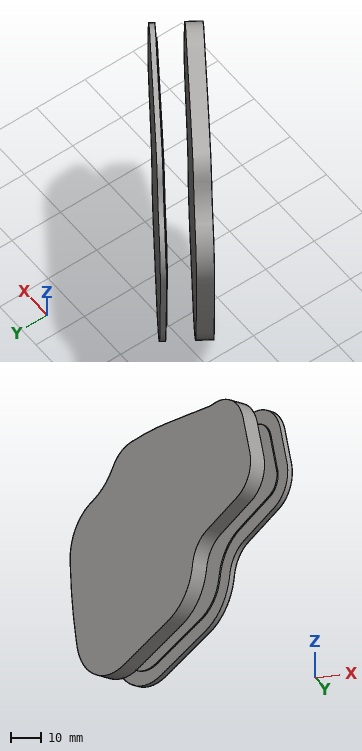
import cadquery as cq
import math

plate_turn = -34.2

front_plate_thickness = 6.0
back_plate_thickness = 2.0
plate_pitch = 16.0
pad_inset = 5.0
pad_height = 0.5

outline_corners = [
    (-47.2, 17.7, 18.1),
    (-28.3, 25.9, 22.4),
    (-21.3, 37.2, 13.4),
    (-5.0, 39.8, 115.4),
    (26.3, 39.6, 12.6),
    (39.9, 42.3, 12.85),
    (49.0, 8.0, 12.1),
    (18.1, -6.4, 12.8),
    (14.5, -25.7, 20.4),
    (-39.2, -47.2, 17.9),
    (-46.0, -10.2, 177.5),
]


def unit_toward(start, end):
    """Unit vector from one outline point to another."""
    return (cq.Vector(*end) - cq.Vector(*start)).normalized()


def rounding_arc(before, corner, after, radius):
    """Start, middle and end of the arc of the given radius that rounds off a corner."""
    tip = cq.Vector(*corner)
    to_before = unit_toward(corner, before)
    to_after = unit_toward(corner, after)
    half_angle = to_before.getAngle(to_after) / 2
    tangent_length = radius / math.tan(half_angle)
    tip_to_arc = radius / math.sin(half_angle) - radius
    middle = tip + (to_before + to_after).normalized() * tip_to_arc
    ends = [tip + side * tangent_length for side in (to_before, to_after)]
    return [(point.x, point.y) for point in (ends[0], middle, ends[1])]


def plate_outline(depth):
    """The closed outline shared by both plates, drawn at a depth behind the front face."""
    points = [corner[:2] for corner in outline_corners]
    arcs = []
    for i, (along, up, radius) in enumerate(outline_corners):
        following = points[(i + 1) % len(points)]
        arcs.append(rounding_arc(points[i - 1], (along, up), following, radius))

    sketch = cq.Workplane("XZ").workplane(offset=-depth).moveTo(*arcs[0][0])
    for i, (start, middle, end) in enumerate(arcs):
        if i > 0:
            sketch = sketch.lineTo(*start)
        sketch = sketch.threePointArc(middle, end)
    return sketch.close()


def turned(plate):
    """The plate swung about the vertical axis into its final direction."""
    return plate.rotate((0, 0, 0), (0, 0, 1), plate_turn)


def make_front_plate():
    """The thick plain plate."""
    return turned(plate_outline(0).extrude(-front_plate_thickness))


def make_back_plate():
    """The thin plate with a low inset pad facing the front plate."""
    base = plate_outline(plate_pitch).extrude(-back_plate_thickness)
    pad = plate_outline(plate_pitch).offset2D(-pad_inset).extrude(pad_height)
    return turned(base.union(pad))


front_plate = make_front_plate()
back_plate = make_back_plate()

result = cq.Compound.makeCompound([front_plate.val(), back_plate.solids().val()])